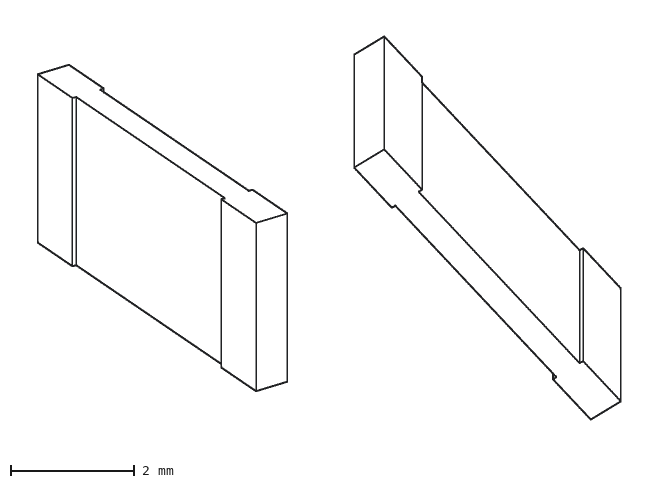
import cadquery as cq

length = 6.35
thickness = 0.61
height = 3.05
terminal_length = 1.015
side_plating = 0.07
end_plating = 0.06

body_length = length - 2 * end_plating
body_thickness = thickness - 2 * side_plating

body = cq.Workplane("XY").box(body_length, body_thickness, height)


def terminal(side):
    """Wrap around one body end; side is -1 for the -X end and +1 for the +X end."""
    center_x = side * (length - terminal_length) / 2
    block = cq.Workplane("XY").box(terminal_length, thickness, height)
    return block.translate((center_x, 0, 0)).cut(body)


result = body.union(terminal(-1), clean=False).union(terminal(1), clean=False)